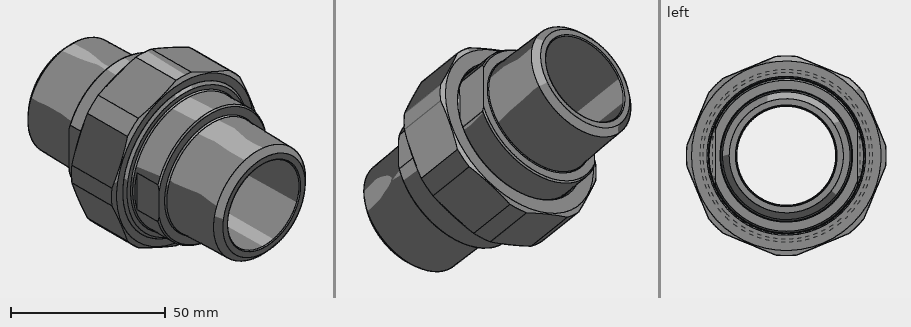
import cadquery as cq
import math

LENGTH = 91.0

END_RADIUS = 18.5
END_CHAMFER_LENGTH = 2.1
TAPER_SMALL_RADIUS = 20.7
TAPER_LARGE_RADIUS = 21.2
BORE_CHAMFER = 0.4
LEFT_BORE_RADIUS = 32.2 / 2
RIGHT_BORE_RADIUS = 32.0 / 2

COLLAR_RADIUS = 50.0 / 2
COLLAR_CHAMFER = 0.55
LEFT_TAPER_END = 23.5
LEFT_COLLAR_START = 23.8
RIGHT_TAPER_END = 67.6
RIGHT_COLLAR_END = 66.9
ROOT_RISE = 0.3

LEFT_ACROSS_FLATS = 46.0
LEFT_RUNOUT_START = 35.9
LEFT_RUNOUT_RADIUS = 22.75
LEFT_RUNOUT_LENGTH = 1.1
LEFT_RUNOUT_END_RADIUS = 25.5
RIGHT_ACROSS_FLATS = 47.9
RIGHT_FLAT_START = 56.6

NUT_START = 34.0
NUT_WIDTH = 20.0
NUT_END = NUT_START + NUT_WIDTH
NUT_SIDES = 8
NUT_ACROSS_FLATS = 62.1
NUT_CORNER_RADIUS = 64.7 / 2
NUT_FACE_RADIUS = 30.7
NUT_EDGE_LENGTH = 0.6
NUT_LIP_BORE_RADIUS = 50.5 / 2
NUT_LIP_CHAMFER = 0.5
NUT_LIP_END = 39.1
NUT_BORE_RADIUS = 55.9 / 2

JOINT = 42.8
SHOULDER_END = 55.1
SHOULDER_END_RADIUS = 54.0 / 2
SHOULDER_CONE_RADIUS = 25.4
SHOULDER_CONE_END = 55.6


def revolve_about_x(points):
    """Revolve a closed (x, radius) outline about the X axis."""
    outline = cq.Workplane("XY").polyline(points).close()
    return outline.revolve(360, (0, 0, 0), (1, 0, 0))


def flat_slabs(start, end, across_flats):
    """Two slabs of waste, on the -Y and +Y sides, that cut a pair of flats."""
    depth = NUT_ACROSS_FLATS / 2
    slab = cq.Workplane("XY").box(end - start, depth, NUT_ACROSS_FLATS)
    offset_y = (across_flats + depth) / 2
    middle_x = (start + end) / 2
    return slab.translate((middle_x, -offset_y, 0)).union(slab.translate((middle_x, offset_y, 0)))


def make_left_tailpiece():
    body = revolve_about_x([
        (0, LEFT_BORE_RADIUS + BORE_CHAMFER),
        (0, END_RADIUS),
        (END_CHAMFER_LENGTH, TAPER_SMALL_RADIUS),
        (LEFT_TAPER_END, TAPER_LARGE_RADIUS),
        (LEFT_COLLAR_START, TAPER_LARGE_RADIUS + ROOT_RISE),
        (LEFT_COLLAR_START, COLLAR_RADIUS - COLLAR_CHAMFER),
        (LEFT_COLLAR_START + COLLAR_CHAMFER, COLLAR_RADIUS),
        (NUT_LIP_END, COLLAR_RADIUS),
        (NUT_LIP_END, NUT_BORE_RADIUS),
        (JOINT, NUT_BORE_RADIUS),
        (JOINT, LEFT_BORE_RADIUS),
        (BORE_CHAMFER, LEFT_BORE_RADIUS),
    ])
    runout_end = LEFT_RUNOUT_START + LEFT_RUNOUT_LENGTH
    runout = revolve_about_x([
        (LEFT_RUNOUT_START, 0),
        (LEFT_RUNOUT_START, LEFT_RUNOUT_RADIUS),
        (runout_end, LEFT_RUNOUT_END_RADIUS),
        (runout_end, 0),
    ])
    waste = flat_slabs(LEFT_COLLAR_START, runout_end, LEFT_ACROSS_FLATS).cut(runout)
    return body.cut(waste)


def make_right_tailpiece():
    shoulder_chamfer = NUT_BORE_RADIUS - SHOULDER_END_RADIUS
    body = revolve_about_x([
        (JOINT, RIGHT_BORE_RADIUS),
        (JOINT, NUT_BORE_RADIUS),
        (SHOULDER_END - shoulder_chamfer, NUT_BORE_RADIUS),
        (SHOULDER_END, SHOULDER_END_RADIUS),
        (SHOULDER_END, SHOULDER_CONE_RADIUS),
        (SHOULDER_CONE_END, COLLAR_RADIUS),
        (RIGHT_COLLAR_END - COLLAR_CHAMFER, COLLAR_RADIUS),
        (RIGHT_COLLAR_END, COLLAR_RADIUS - COLLAR_CHAMFER),
        (RIGHT_COLLAR_END, TAPER_LARGE_RADIUS + ROOT_RISE),
        (RIGHT_TAPER_END, TAPER_LARGE_RADIUS),
        (LENGTH - END_CHAMFER_LENGTH, TAPER_SMALL_RADIUS),
        (LENGTH, END_RADIUS),
        (LENGTH, RIGHT_BORE_RADIUS + BORE_CHAMFER),
        (LENGTH - BORE_CHAMFER, RIGHT_BORE_RADIUS),
    ])
    return body.cut(flat_slabs(RIGHT_FLAT_START, RIGHT_COLLAR_END, RIGHT_ACROSS_FLATS))


def make_nut():
    corner_diameter = NUT_ACROSS_FLATS / math.cos(math.pi / NUT_SIDES)
    octagon = (
        cq.Workplane("YZ")
        .workplane(offset=NUT_START)
        .polygon(NUT_SIDES, corner_diameter)
        .extrude(NUT_WIDTH)
    )
    turned_ring = revolve_about_x([
        (NUT_START, NUT_LIP_BORE_RADIUS + NUT_LIP_CHAMFER),
        (NUT_START, NUT_FACE_RADIUS),
        (NUT_START + NUT_EDGE_LENGTH, NUT_CORNER_RADIUS),
        (NUT_END - NUT_EDGE_LENGTH, NUT_CORNER_RADIUS),
        (NUT_END, NUT_FACE_RADIUS),
        (NUT_END, NUT_BORE_RADIUS),
        (NUT_LIP_END, NUT_BORE_RADIUS),
        (NUT_LIP_END, NUT_LIP_BORE_RADIUS),
        (NUT_START + NUT_LIP_CHAMFER, NUT_LIP_BORE_RADIUS),
    ])
    return octagon.intersect(turned_ring)


left_tailpiece = make_left_tailpiece()
right_tailpiece = make_right_tailpiece()
nut = make_nut()

result = cq.Compound.makeCompound([
    left_tailpiece.solids().val(),
    right_tailpiece.solids().val(),
    nut.solids().val(),
])